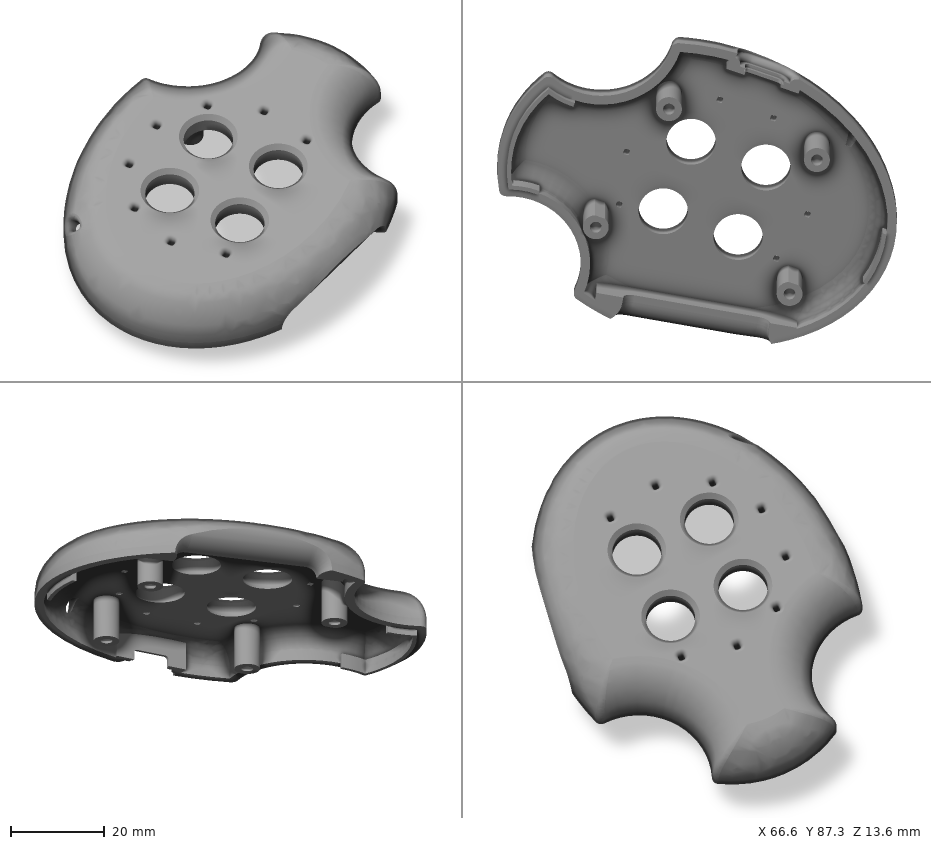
import cadquery as cq
import math

LENGTH = 87.32
WIDTH = 67.1
SHELL_HEIGHT = 10.85
POST_DROP = 2.72
OUTLINE_CENTER_Y = 3.99
EDGE_RADIUS = 9.0
CORNER_RADIUS = 1.5

WAIST_X = 28.8
WAIST_Y = 36.25
WAIST_RADIUS = 15.5

WALL = 2.0
ROOF = 4.2
CAVITY_EDGE_RADIUS = 4.0

BUTTON_PITCH = 17.0
BUTTON_DIAMETER = 10.5
BUTTON_CHAMFER = 1.0

LIGHT_CIRCLE_RADIUS = 20.6
LIGHT_STEP = 360.0 / 10.5
LIGHT_COUNT = 8
LIGHT_SIZE = 1.3
LIGHT_CORNER_RADIUS = 0.4
LIGHT_LIP_RADIUS = 1.0

POST_DIAMETER = 5.5
POST_ROOT = 1.0
POST_HOLE_DIAMETER = 2.5
POST_HOLE_DEPTH = 7.0
LEFT_POST = (-17.4, 16.8)
RIGHT_POST = (13.4, 22.0)
RIGHT_POST_FLAT = 2.5

LIP_DROP = 1.35
LIP_GAP = 0.1
LIP_THICKNESS = 0.9
TAIL_LIP_WIDTH = 12.0
NECK_LIP_START_Y = 35.9

PIN_HOLE_DIAMETER = 2.1
PIN_HOLE_Y = -23.2
PIN_HOLE_Z = 5.8
PIN_HOLE_REACH = 6.0
PIN_HOLE_LIP_RADIUS = 1.4

LEFT_PORT = {
    "floor_center": (-30.8, 0.0),
    "heading": 180.0,
    "flat_half_width": 3.3,
    "recess_half_width": 5.7,
    "recess_height": 3.95,
    "opening_half_width": 4.5,
    "opening_height": 3.1,
    "throat_half_width": 4.1,
    "throat_height": 2.3,
    "rim_radius": 1.5,
}
RIGHT_PORT = {
    "floor_center": (26.3, -5.4),
    "heading": -9.7,
    "flat_half_width": 13.5,
    "recess_half_width": 15.9,
    "recess_height": 2.4,
    "opening_half_width": 15.9,
    "opening_height": 2.4,
    "throat_half_width": 15.9,
    "throat_height": 2.4,
    "rim_radius": 4.8,
}
OPENING_DEPTH = 0.75
PORT_FLOOR_THICKNESS = 1.5

SEMI_X = WIDTH / 2
SEMI_Y = LENGTH / 2
BAND_HEIGHT = SHELL_HEIGHT - EDGE_RADIUS
MARGIN = 5.0
TOLERANCE = 1e-3
FLARE_FRACTION = 0.98


def scoop_cutter(foot_radius, height, round_radius, side):
    """Solid that scoops the waist and leaves a rounded top edge around the scoop."""
    band = height - round_radius
    mid = round_radius * math.sqrt(0.5)
    profile = (
        cq.Workplane("XZ")
        .moveTo(0, -MARGIN)
        .lineTo(foot_radius, -MARGIN)
        .lineTo(foot_radius, band)
        .threePointArc(
            (foot_radius + round_radius - mid, band + mid),
            (foot_radius + round_radius, height),
        )
        .lineTo(0, height)
        .close()
    )
    cutter = profile.revolve(360, (0, 0, 0), (0, 1, 0))
    return cutter.translate((side * WAIST_X, WAIST_Y, 0))


def shield(inset, height, round_radius):
    """Rounded shield-shaped dome, its outline moved inward by `inset`."""
    dome = (
        cq.Workplane("XY")
        .ellipse(SEMI_X - inset, SEMI_Y - inset)
        .extrude(height)
        .translate((0, OUTLINE_CENTER_Y, 0))
        .faces(">Z")
        .edges()
        .fillet(round_radius)
    )
    for side in (-1, 1):
        dome = dome.cut(scoop_cutter(WAIST_RADIUS + inset, height, round_radius, side))
    return dome


def port_plane(port):
    """Plane on the port floor: local X runs along the wall, local Y up, normal outward."""
    angle = math.radians(port["heading"])
    outward = (math.cos(angle), math.sin(angle), 0)
    along = (-math.sin(angle), math.cos(angle), 0)
    return cq.Plane(origin=(*port["floor_center"], 0), xDir=along, normal=outward)


def arch(port, half_width, height):
    """Flat-topped arch with quarter-round shoulders, standing on the base plane."""
    flat = min(port["flat_half_width"], half_width)
    shoulder = min(half_width - flat, height)
    diagonal = shoulder * math.sqrt(0.5)
    spring = height - shoulder
    return (
        cq.Workplane(port_plane(port))
        .moveTo(-half_width, -MARGIN)
        .lineTo(-half_width, spring)
        .threePointArc((-half_width + shoulder - diagonal, spring + diagonal), (shoulder - half_width, height))
        .lineTo(half_width - shoulder, height)
        .threePointArc((half_width - shoulder + diagonal, spring + diagonal), (half_width, spring))
        .lineTo(half_width, -MARGIN)
        .close()
    )


def recess_cutter(port):
    """Arch-shaped plug that flares outward like a trumpet above the port floor."""
    rim = port["rim_radius"]
    half_width = port["recess_half_width"]
    height = port["recess_height"]
    frame = arch(port, half_width + 2 * rim, height + 2 * rim).extrude(rim)
    pierced = frame.cut(arch(port, half_width, height).extrude(rim))
    plane = port_plane(port)
    mouth_edges = [
        edge
        for edge in pierced.edges().vals()
        if is_on_mouth(plane.toLocalCoords(edge.Center()), rim, half_width, height)
    ]
    flare = frame.cut(pierced.newObject(mouth_edges).fillet(rim * FLARE_FRACTION))
    mouth = arch(port, half_width + rim, height + rim).extrude(2 * MARGIN)
    return flare.union(mouth.translate(plane.zDir * rim))


def is_on_mouth(local, rim, half_width, height):
    """True for a point on the outer face of the frame, along the edge of the arch."""
    on_face = local.z > rim - TOLERANCE
    along_arch = abs(local.x) < half_width + TOLERANCE and -MARGIN + TOLERANCE < local.y < height + TOLERANCE
    return on_face and along_arch


def port_backing(port):
    """Block left standing in the cavity behind the floor of a port."""
    margin = port["rim_radius"] + WALL / 2
    half_width = port["recess_half_width"] + margin
    height = port["recess_height"] + margin
    return (
        cq.Workplane(port_plane(port))
        .rect(2 * half_width, 2 * height)
        .extrude(2 * MARGIN)
        .translate(port_plane(port).zDir * -PORT_FLOOR_THICKNESS)
    )


def port_opening(port):
    """Opening through the port floor, stepping in to a smaller throat."""
    opening = arch(port, port["opening_half_width"], port["opening_height"]).extrude(-OPENING_DEPTH)
    throat = arch(port, port["throat_half_width"], port["throat_height"]).extrude(-MARGIN)
    return opening.union(throat)


def round_horns(body):
    """Round the four horn edges, from the base plane up to where they fade into the roof."""
    horn_edges = []
    for edge in body.edges().vals():
        ends = (edge.startPoint(), edge.endPoint())
        rises = abs(ends[0].z - ends[1].z) > BAND_HEIGHT / 2
        beside_scoop = all(
            math.hypot(abs(end.x) - WAIST_X, end.y - WAIST_Y) < WAIST_RADIUS + EDGE_RADIUS + TOLERANCE
            for end in ends
        )
        if rises and beside_scoop:
            horn_edges.append(edge)
    rounded = body.newObject(horn_edges).fillet(CORNER_RADIUS)
    return cq.Workplane(rounded.val().fix().Solids()[0])


def add_pin_hole(body):
    """Small hole along X through the rounded shoulder, with a trumpet-shaped mouth."""
    inset = EDGE_RADIUS - math.sqrt(EDGE_RADIUS**2 - (PIN_HOLE_Z - BAND_HEIGHT) ** 2)
    along = (PIN_HOLE_Y - OUTLINE_CENTER_Y) / (SEMI_Y - inset)
    surface_x = -(SEMI_X - inset) * math.sqrt(1 - along**2)
    mouth = cq.Vector(surface_x, PIN_HOLE_Y, PIN_HOLE_Z)
    hole = (
        cq.Workplane("YZ", origin=mouth.toTuple())
        .circle(PIN_HOLE_DIAMETER / 2)
        .extrude(PIN_HOLE_REACH, both=True)
    )
    body = body.cut(hole)
    rim = [edge for edge in body.edges().vals() if (edge.Center() - mouth).Length < PIN_HOLE_DIAMETER]
    return body.newObject(rim).fillet(PIN_HOLE_LIP_RADIUS)


def lip_ring(outer_inset, inner_inset, bottom, top):
    """Wall that follows the outline between two insets."""
    height = top - bottom
    ring = None
    for inset in (outer_inset, inner_inset):
        outline = (
            cq.Workplane("XY")
            .center(0, OUTLINE_CENTER_Y)
            .ellipse(SEMI_X - inset, SEMI_Y - inset)
            .extrude(height)
        )
        for side in (-1, 1):
            outline = outline.cut(
                cq.Workplane("XY").center(side * WAIST_X, WAIST_Y).circle(WAIST_RADIUS + inset).extrude(height)
            )
        ring = outline if ring is None else ring.cut(outline)
    return ring.translate((0, 0, bottom))


def locating_lips():
    """Tongues below the base plane at the neck and at the tail."""
    inner = WALL + LIP_GAP + LIP_THICKNESS
    ring = lip_ring(WALL + LIP_GAP, inner, -LIP_DROP, 0)
    ring = ring.union(lip_ring(WALL / 2, inner, 0, BAND_HEIGHT))
    neck_zone = cq.Workplane("XY").box(WIDTH / 2, LENGTH, 4 * MARGIN).translate(
        (0, NECK_LIP_START_Y + LENGTH / 2, 0)
    )
    tail_zone = cq.Workplane("XY").box(TAIL_LIP_WIDTH, LENGTH, 4 * MARGIN).translate((0, -LENGTH / 2, 0))
    return ring.intersect(neck_zone.union(tail_zone))


def post(x, y, flat_distance=None):
    """Screw post from the roof down past the base plane, optionally flattened on its -X side."""
    height = SHELL_HEIGHT - ROOF + POST_DROP
    column = cq.Workplane("XY").circle(POST_DIAMETER / 2).extrude(height + POST_ROOT)
    if flat_distance:
        column = column.intersect(
            cq.Workplane("XY").box(POST_DIAMETER, POST_DIAMETER, 4 * height).translate(
                (POST_DIAMETER / 2 - flat_distance, 0, 0)
            )
        )
    column = column.cut(cq.Workplane("XY").circle(POST_HOLE_DIAMETER / 2).extrude(POST_HOLE_DEPTH))
    return column.translate((x, y, -POST_DROP))


def light_hole_cutter():
    """Rounded-square hole whose upper edge flares outward."""
    block = cq.Workplane("XY").rect(2 * MARGIN, 2 * MARGIN).extrude(-2 * ROOF)
    hole = cq.Workplane("XY").rect(LIGHT_SIZE, LIGHT_SIZE).extrude(-2 * ROOF)
    pierced = block.cut(hole.edges("|Z").fillet(LIGHT_CORNER_RADIUS))
    rim = pierced.faces(">Z").wires().vals()
    inner = min(rim, key=lambda wire: wire.Length())
    flared = pierced.newObject(inner.Edges()).fillet(LIGHT_LIP_RADIUS)
    return block.cut(flared)


def cut_light_holes(body):
    """Ring of small light holes, evenly stepped about the -X direction."""
    cutter = light_hole_cutter()
    for i in range(LIGHT_COUNT):
        angle = math.radians(180 + (i - (LIGHT_COUNT - 1) / 2) * LIGHT_STEP)
        x = LIGHT_CIRCLE_RADIUS * math.cos(angle)
        y = LIGHT_CIRCLE_RADIUS * math.sin(angle)
        body = body.cut(cutter.translate((x, y, SHELL_HEIGHT)))
    return body


def cut_button_holes(body):
    """Four chamfered button holes in a square pattern."""
    centers = [(i * BUTTON_PITCH / 2, j * BUTTON_PITCH / 2) for i in (-1, 1) for j in (-1, 1)]
    radius = BUTTON_DIAMETER / 2
    cutter = (
        cq.Workplane("XZ")
        .lineTo(radius + BUTTON_CHAMFER, 0)
        .lineTo(radius, -BUTTON_CHAMFER)
        .lineTo(radius, -2 * ROOF)
        .lineTo(0, -2 * ROOF)
        .close()
        .revolve(360, (0, 0, 0), (0, 1, 0))
    )
    for x, y in centers:
        body = body.cut(cutter.translate((x, y, SHELL_HEIGHT)))
    return body


body = cut_light_holes(shield(0, SHELL_HEIGHT, EDGE_RADIUS))
cavity = shield(WALL, SHELL_HEIGHT - ROOF, CAVITY_EDGE_RADIUS)
for port in (LEFT_PORT, RIGHT_PORT):
    body = body.cut(recess_cutter(port))
    cavity = cavity.cut(port_backing(port))
body = add_pin_hole(body)
body = round_horns(body)
body = body.cut(cavity)
for port in (LEFT_PORT, RIGHT_PORT):
    body = body.cut(port_opening(port))
for mirror in (-1, 1):
    body = body.union(post(LEFT_POST[0], mirror * LEFT_POST[1]))
    body = body.union(post(RIGHT_POST[0], mirror * RIGHT_POST[1], RIGHT_POST_FLAT))
body = body.union(locating_lips())
result = cut_button_holes(body)